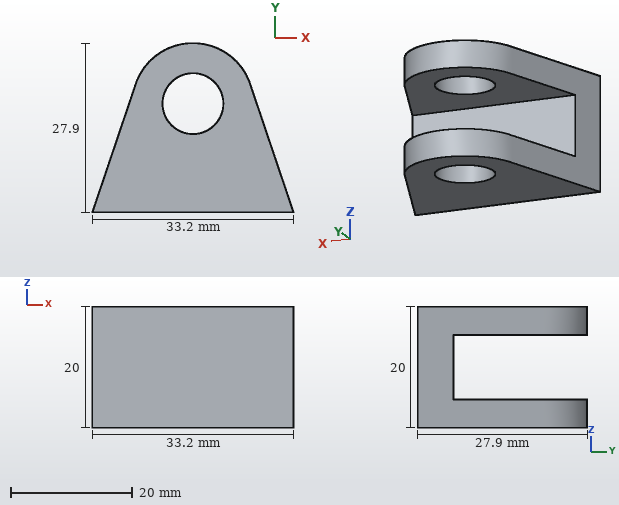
import cadquery as cq
import math

base_width = 33.2
height = 20.0
lug_radius = 10.0
pin_hole_diameter = 10.0
pin_axis_y = 17.94
slot_height = 10.6
web_thickness = 5.9

slot_bottom_z = (height - slot_height) / 2
overall_depth = pin_axis_y + lug_radius

half_width = base_width / 2
arc_end_angle = math.radians(15)
arc_end_x = lug_radius * math.cos(arc_end_angle)
arc_end_y = pin_axis_y + lug_radius * math.sin(arc_end_angle)


def make_body():
    """Solid tapered block with a round end."""
    return (
        cq.Workplane("XY")
        .moveTo(-half_width, 0)
        .lineTo(half_width, 0)
        .lineTo(arc_end_x, arc_end_y)
        .threePointArc((0, overall_depth), (-arc_end_x, arc_end_y))
        .close()
        .extrude(height)
    )


def make_slot():
    """Gap between the two lugs, open at the round end and both flanks."""
    return (
        cq.Workplane("XY")
        .box(base_width, overall_depth, slot_height, centered=(True, False, False))
        .translate((0, web_thickness, slot_bottom_z))
    )


def make_pin_hole():
    """Pin hole through both lugs."""
    return (
        cq.Workplane("XY")
        .center(0, pin_axis_y)
        .circle(pin_hole_diameter / 2)
        .extrude(height)
    )


result = make_body().cut(make_slot()).cut(make_pin_hole())